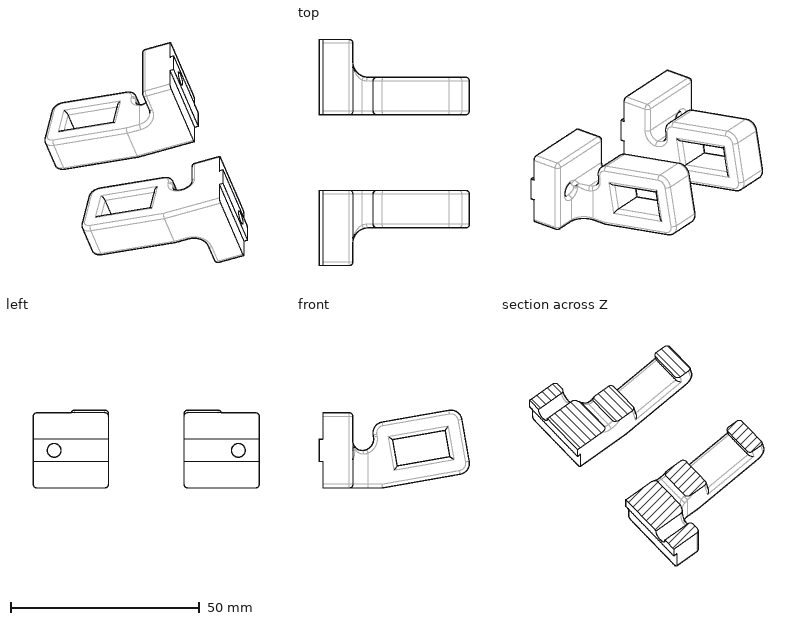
import cadquery as cq
import math

overall_width = 60.0
block_size = overall_width / 3
arm_width = block_size / 2
rail_depth = 1.0
rail_height = 6.0
front_face_x = 9.0
edge_radius = 1.0
web_radius = 4.0
hole_diameter = 3.6
hole_inset = 5.6

tilt = math.radians(10)
handle_corner_x = 16.8
handle_length = 23.95
handle_height = 17.3
corner_radius = 3.0
window_length = 14.1
window_height = 7.0

groove_radius = 3.0
groove_floor_z = block_size / 2

inner_y = -block_size / 2
outer_y = -overall_width / 2
arm_outer_y = inner_y - arm_width
hole_y = outer_y + hole_inset
mid_height = block_size / 2
beyond = 2 * handle_length


def handle_point(along, across):
    """XZ position of a point given along and across the tilted handle."""
    return (
        handle_corner_x + along * math.cos(tilt) - across * math.sin(tilt),
        along * math.sin(tilt) + across * math.cos(tilt),
    )


def on_circle(center, radius, angle):
    """XZ point on a circle, with the angle in radians from +X."""
    return (center[0] + radius * math.cos(angle), center[1] + radius * math.sin(angle))


groove_center_z = groove_floor_z + groove_radius
groove_center_x = handle_corner_x - (groove_radius + groove_center_z * math.sin(tilt)) / math.cos(tilt)
groove_center = (groove_center_x, groove_center_z)
groove_floor = (groove_center_x, groove_floor_z)

lead_radius = groove_center_x - front_face_x
lead_center = (groove_center_x, groove_floor_z + lead_radius)


def side_profile():
    """Block, groove and handle as one XZ outline, extruded over the block's width."""
    far = handle_length - corner_radius
    high = handle_height - corner_radius
    lower_far = handle_point(far, corner_radius)
    upper_far = handle_point(far, high)
    upper_near = handle_point(corner_radius, high)
    eighth = math.pi / 4
    return (
        cq.Workplane("XZ", origin=(0, inner_y, 0))
        .moveTo(rail_depth, 0)
        .lineTo(handle_corner_x, 0)
        .lineTo(*handle_point(far, 0))
        .threePointArc(
            on_circle(lower_far, corner_radius, tilt - eighth),
            handle_point(handle_length, corner_radius),
        )
        .lineTo(*handle_point(handle_length, high))
        .threePointArc(
            on_circle(upper_far, corner_radius, tilt + eighth),
            handle_point(far, handle_height),
        )
        .lineTo(*handle_point(corner_radius, handle_height))
        .threePointArc(
            on_circle(upper_near, corner_radius, tilt + 3 * eighth),
            handle_point(0, high),
        )
        .lineTo(*on_circle(groove_center, groove_radius, tilt))
        .threePointArc(on_circle(groove_center, groove_radius, -eighth), groove_floor)
        .threePointArc(
            on_circle(lead_center, lead_radius, 5 * eighth),
            (front_face_x, lead_center[1]),
        )
        .lineTo(front_face_x, block_size)
        .lineTo(rail_depth, block_size)
        .close()
        .extrude(block_size)
    )


def plan_prism():
    """Wide block narrowing to the arm through a concave corner, as a tall XY prism."""
    web_mid = on_circle(
        (front_face_x + web_radius, arm_outer_y - web_radius), web_radius, 3 * math.pi / 4
    )
    return (
        cq.Workplane("XY")
        .moveTo(rail_depth, inner_y)
        .lineTo(rail_depth, outer_y)
        .lineTo(front_face_x, outer_y)
        .lineTo(front_face_x, arm_outer_y - web_radius)
        .threePointArc(web_mid, (front_face_x + web_radius, arm_outer_y))
        .lineTo(beyond, arm_outer_y)
        .lineTo(beyond, inner_y)
        .close()
        .extrude(beyond)
    )


def handle_window():
    """Prism that opens the tilted window, centred in the handle."""
    center = handle_point(handle_length / 2, handle_height / 2)
    return (
        cq.Workplane("XY")
        .box(window_length, block_size, window_height)
        .rotate((0, 0, 0), (0, 1, 0), -math.degrees(tilt))
        .translate((center[0], inner_y - arm_width / 2, center[1]))
    )


def round_edges(body):
    """Round every outer edge and window rim; the back face at minimum X stays sharp."""
    outlines = body.edges("not(|Y or |Z or <X)")
    upright_mid_z = (lead_center[1] + block_size) / 2
    front_midpoints = [
        (front_face_x, (inner_y + outer_y) / 2, block_size),
        (front_face_x, inner_y, upright_mid_z),
        (front_face_x, outer_y, mid_height),
    ]
    rounded = outlines
    for midpoint in front_midpoints:
        rounded = rounded.add(body.edges(cq.NearestToPointSelector(midpoint)))
    return rounded.fillet(edge_radius)


def key_rail():
    """Rectangular rail across the full width of the block's back face."""
    return cq.Workplane("XY").box(rail_depth, block_size, rail_height).translate(
        (rail_depth / 2, (inner_y + outer_y) / 2, mid_height)
    )


def screw_hole():
    """Through hole along X, beside the arm, nicking the concave corner."""
    return (
        cq.Workplane("YZ", origin=(0, hole_y, mid_height))
        .circle(hole_diameter / 2)
        .extrude(front_face_x + web_radius)
    )


def round_hole_mouth(body):
    """Round the front rim of the screw hole, where it meets the front face and the concave corner."""
    outboard_point = (front_face_x, hole_y - hole_diameter / 2, mid_height)
    return body.edges(cq.NearestToPointSelector(outboard_point)).fillet(edge_radius)


def make_bracket():
    """The bracket on the -Y side, as one solid."""
    blank = side_profile().intersect(plan_prism()).cut(handle_window())
    body = round_edges(blank).union(key_rail()).cut(screw_hole())
    return round_hole_mouth(body)


brackets = []
for mirrored in (False, True):
    bracket = make_bracket()
    if mirrored:
        bracket = bracket.mirror("XZ")
    brackets.append(bracket.val())

result = cq.Compound.makeCompound(brackets)